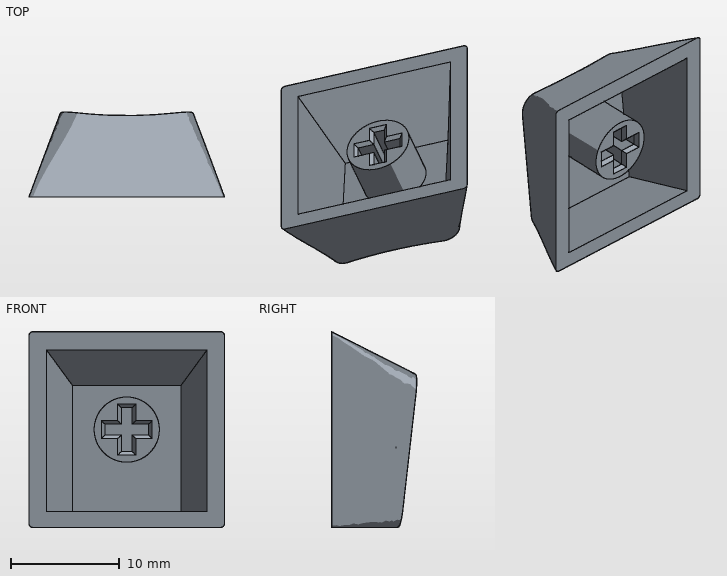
import cadquery as cq
import math

rim_size = 18.0
rim_corner = 0.4

crown_width = 12.17
crown_height = 13.97
crown_corner = 1.67
crown_depth_low = 6.39
crown_depth_high = 7.97
dish_sag = 0.47
crown_fillet = 0.18
loft_overrun = 1.1
section_count = 6

side_wall = 1.62
lower_wall = 1.5
upper_wall = 1.67
cavity_width = rim_size - 2 * side_wall
cavity_height = rim_size - lower_wall - upper_wall
floor_width = 9.94
floor_height = 11.54
floor_depth_low = 5.25
floor_depth_high = 6.55

stem_diameter = 6.0
stem_inset = 1.08
socket_span = 4.68
socket_arm = 1.65
socket_chamfer = 0.32
socket_depth = 3.6

crown_slope = math.atan2(crown_depth_high - crown_depth_low, crown_height)


def tilted_rectangle(width, z_low, height, y_low, y_high, corner=0):
    """Wire of a rectangle whose lower and upper edges lie at different depths."""
    rise = y_high - y_low
    normal = cq.Vector(0, height, -rise)
    center = cq.Vector(0, (y_low + y_high) / 2, z_low + height / 2)
    plane = cq.Plane(origin=center, xDir=(1, 0, 0), normal=normal)
    sketch = cq.Sketch().rect(width, math.hypot(height, rise))
    if corner:
        sketch = sketch.vertices().fillet(corner)
    return sketch._faces.Faces()[0].outerWire().moved(plane.location)


def body_section(fraction):
    """Outer section at a fraction of the way from rim to crown."""
    blend = min(fraction, 1)
    smooth = blend * blend * (3 - 2 * blend)
    return tilted_rectangle(
        rim_size + fraction * (crown_width - rim_size),
        0,
        rim_size + fraction * (crown_height - rim_size),
        fraction * crown_depth_low,
        fraction * crown_depth_high,
        rim_corner + smooth * (crown_corner - rim_corner),
    )


def make_dish_cutter():
    """Block beyond the crown, bounded by a shallow cylinder along the slope."""
    half = crown_width / 2
    radius = (half ** 2 + dish_sag ** 2) / (2 * dish_sag)
    reach = rim_size / 2
    reach_height = radius - math.sqrt(radius ** 2 - reach ** 2) - dish_sag
    clearance = rim_size / 2
    plane = cq.Plane(
        origin=(0, crown_depth_low, 0),
        xDir=(1, 0, 0),
        normal=(0, math.sin(crown_slope), math.cos(crown_slope)),
    )
    return (
        cq.Workplane(plane)
        .moveTo(-reach, reach_height)
        .threePointArc((0, -dish_sag), (reach, reach_height))
        .lineTo(reach, clearance)
        .lineTo(-reach, clearance)
        .close()
        .extrude(rim_size, both=True)
    )


def make_body():
    fractions = [loft_overrun * i / (section_count - 1) for i in range(section_count)]
    blank = cq.Solid.makeLoft([body_section(f) for f in fractions])
    body = cq.Workplane(obj=blank).cut(make_dish_cutter())
    return body.faces(">Y").edges().fillet(crown_fillet)


def make_cavity():
    opening = tilted_rectangle(cavity_width, lower_wall, cavity_height, 0, 0)
    floor = tilted_rectangle(
        floor_width, lower_wall, floor_height, floor_depth_low, floor_depth_high
    )
    return cq.Workplane(obj=cq.Solid.makeLoft([opening, floor], True))


def make_stem():
    """Round post running from its inset face into the crown wall."""
    return (
        cq.Workplane("XZ", origin=(0, stem_inset, rim_size / 2))
        .circle(stem_diameter / 2)
        .extrude(-(floor_depth_high - stem_inset))
    )


def make_socket():
    face = cq.Workplane("XZ", origin=(0, stem_inset, rim_size / 2))
    narrowing = 2 * socket_chamfer
    span = socket_span - narrowing
    arm = socket_arm - narrowing
    socket = face.rect(span, arm).extrude(-socket_depth)
    socket = socket.union(face.rect(arm, span).extrude(-socket_depth))
    for width, height in ((socket_span, socket_arm), (socket_arm, socket_span)):
        mouth = face.rect(width, height).extrude(-socket_chamfer, taper=45)
        socket = socket.union(mouth)
    return socket


result = make_body().cut(make_cavity()).union(make_stem()).cut(make_socket())